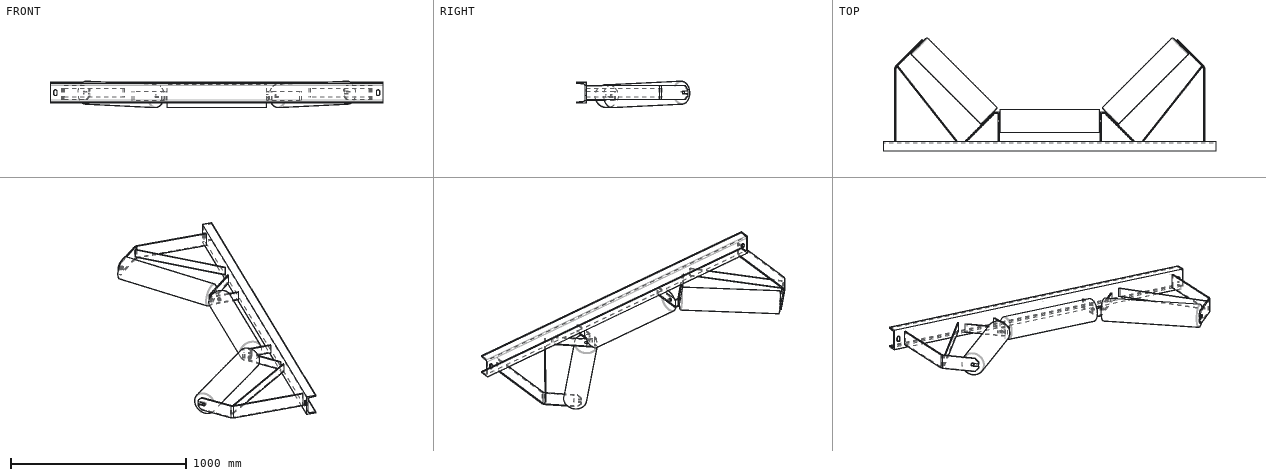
import cadquery as cq
import math


beam_length = 1900.0
beam_height = 120.0
beam_width = 55.0
web_thickness = 8.0
flange_tip_thickness = 7.0
flange_slope = 0.08
root_radius = 9.0
bolt_slot_length = 32.0
bolt_slot_width = 18.0
bolt_slot_inset = 29.0

roller_diameter = 133.0
roller_length = 568.0
roller_edge_radius = 4.0
axle_diameter = 17.0
trough_angle = 45.0
forward_tilt = 2.0

centre_roller_y = 116.5
centre_roller_z = -19.5
wing_middle = (-546.5, 345.15, -9.75)

axle_gap = 4.0
bar_thickness = 8.0
outer_bar_height = 80.0
outer_post_x = -881.0
outer_arm_overhang = 37.0
outer_bend_setback = 6.5
outer_arm_chamfer = 22.0
inner_bar_height = 50.0
inner_bracket_top = 168.0
brace_thickness = 6.0
brace_height = 50.0
brace_foot_x = -531.0
brace_top_offset = 12.0

half_roller = roller_length / 2
axle_overhang = axle_gap + bar_thickness
axis_x = -math.cos(math.radians(trough_angle))
axis_y = math.sin(math.radians(trough_angle))
arm_x = axis_y
arm_y = -axis_x
bar_end_below_beam_face = -30.0


def along_wing_axis(distance):
    """Plan point on the wing axis, measured outwards from the roller's middle."""
    return wing_middle[0] + distance * axis_x, wing_middle[1] + distance * axis_y


def along_arm(start, distance):
    """Plan point reached from start by going square to the wing axis, away from the beam."""
    return start[0] + distance * arm_x, start[1] + distance * arm_y


outer_axle_point = along_wing_axis(half_roller + axle_gap + bar_thickness / 2)
inner_axle_point = along_wing_axis(-half_roller - axle_gap - bar_thickness / 2)
post_to_axle = (outer_axle_point[0] - outer_post_x) / arm_x
outer_bend = along_arm(outer_axle_point, -post_to_axle)


def make_beam():
    half_height = beam_height / 2
    half_length = beam_length / 2
    tip_z = half_height - flange_tip_thickness
    root_z = tip_z - flange_slope * (beam_width - web_thickness)
    outline = [
        (0, -half_height),
        (0, half_height),
        (-beam_width, half_height),
        (-beam_width, tip_z),
        (-web_thickness, root_z),
        (-web_thickness, -root_z),
        (-beam_width, -tip_z),
        (-beam_width, -half_height),
    ]
    section = cq.Workplane("YZ", origin=(-half_length, 0, 0)).polyline(outline).close()
    beam = section.extrude(beam_length)
    for root in (-root_z, root_z):
        beam = beam.edges(cq.NearestToPointSelector((0, -web_thickness, root))).fillet(root_radius)
    slots = (
        cq.Workplane("XZ")
        .pushPoints([(side * (half_length - bolt_slot_inset), 0) for side in (-1, 1)])
        .slot2D(bolt_slot_length, bolt_slot_width, 90)
        .extrude(web_thickness)
    )
    return beam.cut(slots)


def make_roller():
    """Roller along X about the origin, with its axle standing out at both ends."""
    half_axle = half_roller + axle_overhang
    shell = cq.Workplane("YZ", origin=(-half_roller, 0, 0)).circle(roller_diameter / 2).extrude(roller_length)
    shell = shell.faces("<X or >X").edges().fillet(roller_edge_radius)
    axle = cq.Workplane("YZ", origin=(-half_axle, 0, 0)).circle(axle_diameter / 2).extrude(2 * half_axle)
    return shell.union(axle)


def place_on_wing(body):
    """Move a body made along X about the origin onto the -X wing axis."""
    tilted = body.rotate((0, 0, 0), (0, 1, 0), forward_tilt)
    return tilted.rotate((0, 0, 0), (0, 0, 1), -trough_angle).translate(wing_middle)


def strip_side(path, offset):
    """Points at a constant distance to the left of a plan path, mitred at its bends."""
    normals = []
    for (x0, y0), (x1, y1) in zip(path, path[1:]):
        length = math.hypot(x1 - x0, y1 - y0)
        normals.append(((y0 - y1) / length, (x1 - x0) / length))
    befores = normals[:1] + normals
    afters = normals + normals[-1:]
    points = []
    for (x, y), before, after in zip(path, befores, afters):
        stretch = offset / (1 + before[0] * after[0] + before[1] * after[1])
        points.append((x + stretch * (before[0] + after[0]), y + stretch * (before[1] + after[1])))
    return points


def make_bar(path, thickness, height, middle_z):
    """Flat bar on edge, bent along a plan path and ending on the beam's back face."""
    outline = strip_side(path, thickness / 2) + strip_side(path, -thickness / 2)[::-1]
    bar = cq.Workplane("XY", origin=(0, 0, middle_z - height / 2)).polyline(outline).close().extrude(height)
    beam_side = cq.Workplane("XY").box(beam_length, 2 * beam_width, 2 * beam_height)
    return bar.cut(beam_side.translate((0, -beam_width, 0)))


def make_outer_bracket(wing_roller):
    """Post with an arm bent square to the wing axis; the axle lies in a slot open at the arm's end."""
    arm_end = along_arm(outer_axle_point, outer_arm_overhang)
    post_top = (outer_post_x, outer_bend[1] - outer_bend_setback)
    arm_start = along_arm(outer_bend, outer_bend_setback)
    path = [(outer_post_x, 0), post_top, arm_start, arm_end]
    bracket = make_bar(path, bar_thickness, outer_bar_height, 0)
    for corner_z in (-outer_bar_height / 2, outer_bar_height / 2):
        corner = cq.NearestToPointSelector((*arm_end, corner_z))
        bracket = bracket.edges(corner).chamfer(outer_arm_chamfer)
    slot = place_on_wing(
        cq.Workplane("XY")
        .box(axle_overhang, 2 * outer_arm_overhang, axle_diameter, centered=(True, False, True))
        .translate((-half_roller - axle_overhang / 2, 0, 0))
    )
    return bracket.cut(slot).cut(wing_roller)


def make_inner_bracket(wing_roller, centre_roller):
    """Post and sloping leg joined by a short flat top, bored for the two axles it carries."""
    post_x = -half_roller - axle_gap - bar_thickness / 2
    top_y = inner_bracket_top - bar_thickness / 2
    foot = along_arm(inner_axle_point, (bar_end_below_beam_face - inner_axle_point[1]) / arm_y)
    shoulder = along_arm(inner_axle_point, (top_y - inner_axle_point[1]) / arm_y)
    path = [foot, shoulder, (post_x, top_y), (post_x, 0)]
    bracket = make_bar(path, bar_thickness, inner_bar_height, centre_roller_z)
    return bracket.cut(wing_roller).cut(centre_roller)


def make_brace(outer_bracket):
    """Sloping strut from the bend of the outer bracket down to the beam."""
    top = along_arm(outer_bend, brace_top_offset)
    run_per_rise = (top[0] - brace_foot_x) / top[1]
    foot = (brace_foot_x + run_per_rise * bar_end_below_beam_face, bar_end_below_beam_face)
    return make_bar([foot, top], brace_thickness, brace_height, 0).cut(outer_bracket)


beam = make_beam()
roller = make_roller()
centre_roller = roller.translate((0, centre_roller_y, centre_roller_z))
wing_roller = place_on_wing(roller)
outer_bracket = make_outer_bracket(wing_roller)
inner_bracket = make_inner_bracket(wing_roller, centre_roller)
brace = make_brace(outer_bracket)

bodies = [beam.val(), centre_roller.val()]
for body in (wing_roller, outer_bracket, inner_bracket, brace):
    bodies.append(body.val())
    bodies.append(body.mirror("YZ").val())

result = cq.Compound.makeCompound(bodies)